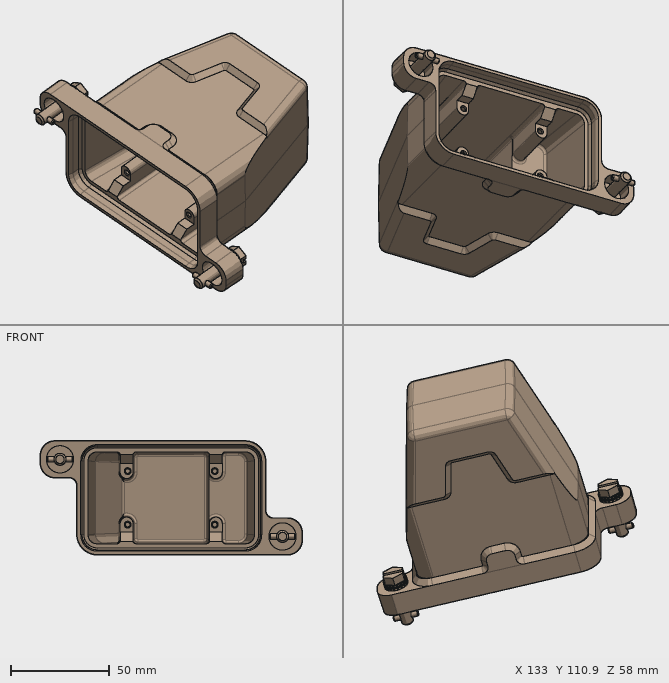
import cadquery as cq
import math

DRAFT_ANGLE = 1.0

FLANGE_THICKNESS = 12.1
HALF_LENGTH = 66.5
FLANGE_HALF_WIDTH = 48.0
HALF_HEIGHT = 29.0
EAR_HEIGHT = 18.9
EAR_INNER_Z = HALF_HEIGHT - EAR_HEIGHT
FLANGE_CORNER_RADIUS = 10.6
EAR_CORNER_RADIUS = 7.6
EAR_ROOT_RADIUS = 3.7

BODY_BACK_Y = 100.0
RECESS_DEPTH = 2.8
BODY_HALF_WIDTH = FLANGE_HALF_WIDTH - RECESS_DEPTH
BODY_HALF_HEIGHT = HALF_HEIGHT - RECESS_DEPTH
BODY_CORNER_RADIUS = 8.6
SLOPE_START_Y = 35.2
SLOPE_ANGLE = 15.2
SLOPE = math.tan(math.radians(SLOPE_ANGLE))
BACK_HALF_WIDTH = BODY_HALF_WIDTH - SLOPE * (BODY_BACK_Y - SLOPE_START_Y)
RAISED_EDGE_RADIUS = 4.3
STEP_ANGLE = 45.0

RECESS_SHOULDER_Y = 57.3
RECESS_TIP_Y = 77.0
RECESS_TIP_HALF_WIDTH = 10.4
RECESS_ROOT_HALF_WIDTH = RECESS_TIP_HALF_WIDTH + SLOPE * (RECESS_TIP_Y - RECESS_SHOULDER_Y)
RECESS_TIP_RADIUS = 0.8
RECESS_ROOT_RADIUS = 4.3

PAD_HALF_WIDTH = 7.5
PAD_END_Y = 22.1
PAD_CORNER_RADIUS = 3.9
PAD_ROOT_RADIUS = 3.5

MOUTH_HALF_WIDTH = 45.9
MOUTH_HALF_HEIGHT = 27.0
MOUTH_CORNER_RADIUS = 8.4
MOUTH_BEVEL = 0.7
MOUTH_BEVEL_END_Y = 2.5
SEAT_BEVEL = 0.9
SEAT_BEVEL_START_Y = 6.3
SEAT_Y = 8.1

CAVITY_HALF_WIDTH = 42.2
CAVITY_HALF_HEIGHT = 23.3
CAVITY_BACK_HALF_HEIGHT = 22.3
CAVITY_BACK_Y = 95.8
CAVITY_WALL_END_X = 38.5
CAVITY_SLOPE_START_Y = 45.4
CAVITY_SLOPE_END_X = CAVITY_WALL_END_X - SLOPE * (CAVITY_BACK_Y - CAVITY_SLOPE_START_Y)
SHELF_Y = 42.5
SHELF_EDGE_X = 19.0
SHELF_EDGE_BACK_X = 18.2
CAVITY_CORNER_RADIUS = 4.5
FLOOR_RADIUS = 1.3

POST_X = 22.6
POST_HALF_WIDTH = 3.2
POST_TIP_Z = 9.8
POST_FACE_Y = 17.8
POST_STEP_Y = 12.6
POST_STEP_Z = 17.4
POST_TOE_Z = 22.1
POST_ROOT_RADIUS = 1.7
OUTER_ROOT_END_Y = 82.5
POST_DRAFT = 0.5
POST_HOLE_X = 22.1
POST_HOLE_Z = 13.5
POST_HOLE_RADIUS = 1.2
POST_HOLE_CHAMFER = 0.5
POST_HOLE_DEPTH = 10.6

SCREW_X = 56.4
SCREW_Z = 19.5
SHANK_RADIUS = 3.0
COUNTERBORE_RADIUS = 6.9
COUNTERBORE_DEPTH = 8.6
SCREW_TIP_Y = -10.9
SCREW_TIP_CHAMFER = 0.9
CROSS_PIN_Y = -6.8
CROSS_PIN_RADIUS = 1.5
CROSS_PIN_HALF_LENGTH = 6.5
CROSS_PIN_CHAMFER = 0.5
WASHER_RADIUS = 6.1
WASHER_THICKNESS = 1.2
WASHER_GAP = 0.5
WASHER_NECK_RADIUS = 5.6
TOOTH_COUNT = 18
TOOTH_GAP_WIDTH = 0.4
HEAD_START_Y = FLANGE_THICKNESS + 2 * WASHER_THICKNESS + WASHER_GAP
HEAD_END_Y = 19.3
HEAD_CORNER_RADIUS = 5.9
HEAD_SLOT_WIDTH = 1.9
HEAD_SLOT_DEPTH = 1.7


def facing_mouth(y, x=0, z=0):
    """Workplane at depth y whose extrusions go towards -Y (local x, y are X, Z)."""
    return cq.Workplane("XZ", origin=(x, y, z))


def facing_back(y, x=0, z=0):
    """Workplane at depth y whose extrusions go towards +Y (local x, y are X, -Z)."""
    return cq.Workplane(cq.Plane(origin=(x, y, z), xDir=(1, 0, 0), normal=(0, 1, 0)))


def nearest_to(x, y, z):
    return cq.selectors.NearestToPointSelector((x, y, z))


def with_mirror(solid):
    """The solid joined to its mirror image across the parting plane."""
    return solid.union(solid.mirror("XY"))


def rounded_frustum(y, half_width, half_height, radius, depth, inset):
    """Rounded rectangle at y that shrinks evenly by inset over depth towards +Y."""
    near = facing_back(y).sketch().rect(2 * half_width, 2 * half_height).vertices().fillet(radius).finalize()
    taper = math.degrees(math.atan2(inset, depth))
    return near.extrude(depth, taper=taper)


def rounded_polygon(points, corners):
    """Sketch of a closed point list, rounded at each (u, v, radius) of corners."""
    sketch = cq.Sketch().polygon(points)
    for u, v, radius in corners:
        sketch = sketch.reset().vertices(nearest_to(u, v, 0)).fillet(radius)
    return sketch


def flange():
    outline = [
        (-HALF_LENGTH, HALF_HEIGHT, EAR_CORNER_RADIUS),
        (FLANGE_HALF_WIDTH, HALF_HEIGHT, FLANGE_CORNER_RADIUS),
        (FLANGE_HALF_WIDTH, -EAR_INNER_Z, EAR_ROOT_RADIUS),
        (HALF_LENGTH, -EAR_INNER_Z, EAR_CORNER_RADIUS),
        (HALF_LENGTH, -HALF_HEIGHT, EAR_CORNER_RADIUS),
        (-FLANGE_HALF_WIDTH, -HALF_HEIGHT, FLANGE_CORNER_RADIUS),
        (-FLANGE_HALF_WIDTH, EAR_INNER_Z, EAR_ROOT_RADIUS),
        (-HALF_LENGTH, EAR_INNER_Z, EAR_CORNER_RADIUS),
    ]
    back_face = rounded_polygon([(x, z) for x, z, radius in outline + outline[:1]], outline)
    return facing_mouth(FLANGE_THICKNESS).placeSketch(back_face).extrude(FLANGE_THICKNESS, taper=DRAFT_ANGLE)


def hood_plan():
    """Straight sides that turn into sloping ones, drafted away from the parting plane."""
    half = (
        cq.Workplane("XY")
        .polyline([
            (-BODY_HALF_WIDTH, 0),
            (-BODY_HALF_WIDTH, SLOPE_START_Y),
            (-BACK_HALF_WIDTH, BODY_BACK_Y),
            (BACK_HALF_WIDTH, BODY_BACK_Y),
            (BODY_HALF_WIDTH, SLOPE_START_Y),
            (BODY_HALF_WIDTH, 0),
        ])
        .close()
        .extrude(HALF_HEIGHT, taper=DRAFT_ANGLE)
    )
    return half


def grip_recess():
    """Recess floor outline widening at 45 degrees up to the raised top."""
    corners = [
        (-RECESS_ROOT_HALF_WIDTH, RECESS_SHOULDER_Y, RECESS_ROOT_RADIUS),
        (-RECESS_TIP_HALF_WIDTH, RECESS_TIP_Y, RECESS_TIP_RADIUS),
        (RECESS_TIP_HALF_WIDTH, RECESS_TIP_Y, RECESS_TIP_RADIUS),
        (RECESS_ROOT_HALF_WIDTH, RECESS_SHOULDER_Y, RECESS_ROOT_RADIUS),
    ]
    outline = [(-HALF_LENGTH, 0), (-HALF_LENGTH, RECESS_SHOULDER_Y)]
    outline += [(x, y) for x, y, radius in corners]
    outline += [(HALF_LENGTH, RECESS_SHOULDER_Y), (HALF_LENGTH, 0), (-HALF_LENGTH, 0)]
    recess_floor = rounded_polygon(outline, corners)
    floor_plane = cq.Workplane("XY", origin=(0, 0, BODY_HALF_HEIGHT))
    return floor_plane.placeSketch(recess_floor).extrude(RECESS_DEPTH, taper=-STEP_ANGLE)


def raised_hood():
    """Full-height back part with rounded edges and the grip recess."""
    half = hood_plan()
    for side in (-1, 1):
        corner = nearest_to(side * BACK_HALF_WIDTH, BODY_BACK_Y, HALF_HEIGHT / 2)
        half = half.edges(corner).fillet(RAISED_EDGE_RADIUS)
    half = half.faces(">Z").edges(nearest_to(0, BODY_BACK_Y, HALF_HEIGHT)).fillet(RAISED_EDGE_RADIUS)
    back = cq.Workplane("XY").box(
        2 * HALF_LENGTH, BODY_BACK_Y, HALF_HEIGHT + 1.3, centered=(True, False, False)
    ).translate((0, RECESS_SHOULDER_Y, 0))
    return with_mirror(half.intersect(back).cut(grip_recess()))


def lower_hood():
    """Rounded front part whose sloping sides cut across its corners."""
    depth = RECESS_SHOULDER_Y
    quarter = (
        cq.Workplane("XY")
        .center(0, depth / 2)
        .rect(2 * BODY_HALF_WIDTH, 3 * depth)
        .extrude(BODY_HALF_HEIGHT, taper=DRAFT_ANGLE)
        .faces(">Z").edges("|Y")
        .fillet(BODY_CORNER_RADIUS)
    )
    front = cq.Workplane("XY").box(
        2 * HALF_LENGTH, depth, HALF_HEIGHT, centered=(True, False, False)
    )
    return with_mirror(hood_plan().intersect(quarter).intersect(front))


def base_flare():
    return rounded_frustum(
        FLANGE_THICKNESS, FLANGE_HALF_WIDTH, HALF_HEIGHT, FLANGE_CORNER_RADIUS, RECESS_DEPTH, RECESS_DEPTH
    )


def pads():
    root_half_width = PAD_HALF_WIDTH + PAD_ROOT_RADIUS
    root_end_y = FLANGE_THICKNESS + PAD_ROOT_RADIUS
    corner_y = PAD_END_Y - PAD_CORNER_RADIUS
    corner_x = PAD_HALF_WIDTH - PAD_CORNER_RADIUS
    pad = (
        cq.Workplane("XY", origin=(0, 0, HALF_HEIGHT))
        .moveTo(-root_half_width, FLANGE_THICKNESS)
        .radiusArc((-PAD_HALF_WIDTH, root_end_y), -PAD_ROOT_RADIUS)
        .lineTo(-PAD_HALF_WIDTH, corner_y)
        .radiusArc((-corner_x, PAD_END_Y), PAD_CORNER_RADIUS)
        .lineTo(corner_x, PAD_END_Y)
        .radiusArc((PAD_HALF_WIDTH, corner_y), PAD_CORNER_RADIUS)
        .lineTo(PAD_HALF_WIDTH, root_end_y)
        .radiusArc((root_half_width, FLANGE_THICKNESS), -PAD_ROOT_RADIUS)
        .close()
        .extrude(-RECESS_DEPTH, taper=-STEP_ANGLE)
    )
    behind_flange = cq.Workplane("XY").box(
        HALF_LENGTH, BODY_BACK_Y, 2 * HALF_HEIGHT, centered=(True, False, True)
    ).translate((0, FLANGE_THICKNESS, 0))
    return with_mirror(pad.intersect(behind_flange))


def mouth():
    throat_half_width = MOUTH_HALF_WIDTH - MOUTH_BEVEL
    throat_half_height = MOUTH_HALF_HEIGHT - MOUTH_BEVEL
    throat_radius = MOUTH_CORNER_RADIUS - MOUTH_BEVEL
    lip = rounded_frustum(
        0, MOUTH_HALF_WIDTH, MOUTH_HALF_HEIGHT, MOUTH_CORNER_RADIUS, MOUTH_BEVEL_END_Y, MOUTH_BEVEL
    )
    throat = rounded_frustum(
        MOUTH_BEVEL_END_Y, throat_half_width, throat_half_height, throat_radius,
        SEAT_BEVEL_START_Y - MOUTH_BEVEL_END_Y, 0,
    )
    seat = rounded_frustum(
        SEAT_BEVEL_START_Y, throat_half_width, throat_half_height, throat_radius,
        SEAT_Y - SEAT_BEVEL_START_Y, SEAT_BEVEL,
    )
    return lip.union(throat).union(seat)


def post(x):
    """Screw post on the upper wall, with a stepped and bevelled foot."""
    depth = CAVITY_BACK_Y - SEAT_Y
    tip_centre_z = POST_TIP_Z + POST_HALF_WIDTH
    column = (
        facing_back(SEAT_Y, x)
        .moveTo(-POST_HALF_WIDTH, -HALF_HEIGHT)
        .lineTo(-POST_HALF_WIDTH, -tip_centre_z)
        .threePointArc((0, -POST_TIP_Z), (POST_HALF_WIDTH, -tip_centre_z))
        .lineTo(POST_HALF_WIDTH, -HALF_HEIGHT)
        .close()
        .extrude(depth, taper=-POST_DRAFT)
    )
    front_space = (
        cq.Workplane("YZ", origin=(x - 2 * POST_HALF_WIDTH, 0, 0))
        .polyline([
            (SEAT_Y, POST_TOE_Z),
            (POST_STEP_Y, POST_STEP_Z),
            (POST_FACE_Y, POST_STEP_Z),
            (POST_FACE_Y, 0),
            (0, 0),
            (0, POST_TOE_Z),
        ])
        .close()
        .extrude(4 * POST_HALF_WIDTH)
    )
    return column.cut(front_space)


def wedge(outline):
    """Prism of an XY outline between the drafted top and bottom walls of the cavity."""
    prism = (
        cq.Workplane("XY", origin=(0, 0, -HALF_HEIGHT))
        .polyline(outline)
        .close()
        .extrude(2 * HALF_HEIGHT)
    )
    walls = (
        cq.Workplane("YZ", origin=(-HALF_LENGTH, 0, 0))
        .polyline([
            (SEAT_Y, CAVITY_HALF_HEIGHT),
            (CAVITY_BACK_Y, CAVITY_BACK_HALF_HEIGHT),
            (CAVITY_BACK_Y, -CAVITY_BACK_HALF_HEIGHT),
            (SEAT_Y, -CAVITY_HALF_HEIGHT),
        ])
        .close()
        .extrude(2 * HALF_LENGTH)
    )
    return prism.intersect(walls)


def fillet_long_edges(solid, x, y, radius):
    """Round the top and bottom edges that run past (x, y)."""
    for z in (-CAVITY_HALF_HEIGHT, CAVITY_HALF_HEIGHT):
        solid = solid.edges(nearest_to(x, y, z)).fillet(radius)
    return solid


def outer_post_root():
    """Rounded root on the -X side of the -X post; it runs out into the sloping wall."""
    side_x = -POST_X - POST_HALF_WIDTH
    root_x = side_x - POST_ROOT_RADIUS
    root_z = CAVITY_HALF_HEIGHT - POST_ROOT_RADIUS
    return (
        facing_back(SEAT_Y)
        .moveTo(root_x, -HALF_HEIGHT)
        .lineTo(root_x, -CAVITY_HALF_HEIGHT)
        .radiusArc((side_x, -root_z), -POST_ROOT_RADIUS)
        .lineTo(side_x, -HALF_HEIGHT)
        .close()
        .extrude(OUTER_ROOT_END_Y - SEAT_Y, taper=-POST_DRAFT)
    )


def post_pair(x):
    return with_mirror(post(x))


def deep_pocket():
    """Pocket behind the -X half, with a side wall parallel to the hood's slope."""
    pocket = wedge([
        (-CAVITY_HALF_WIDTH, SEAT_Y),
        (-CAVITY_WALL_END_X, CAVITY_SLOPE_START_Y),
        (-CAVITY_SLOPE_END_X, CAVITY_BACK_Y),
        (SHELF_EDGE_BACK_X, CAVITY_BACK_Y),
        (SHELF_EDGE_X, SHELF_Y),
        (SHELF_EDGE_X, SEAT_Y),
    ])
    corners = cq.selectors.BoxSelector(
        (-HALF_LENGTH, SEAT_Y, -HALF_HEIGHT), (-CAVITY_SLOPE_END_X - 1.3, CAVITY_BACK_Y - 1.3, HALF_HEIGHT)
    )
    pocket = pocket.edges(corners).edges("not |Z").fillet(CAVITY_CORNER_RADIUS)
    pocket = fillet_long_edges(pocket, SHELF_EDGE_X, (SHELF_Y + CAVITY_BACK_Y) / 2, POST_ROOT_RADIUS)
    pocket = pocket.cut(post_pair(-POST_X))
    pocket = fillet_long_edges(
        pocket, POST_HALF_WIDTH - POST_X, (POST_FACE_Y + CAVITY_BACK_Y) / 2, POST_ROOT_RADIUS
    )
    pocket = pocket.cut(with_mirror(outer_post_root()))
    return pocket.faces(">Y").edges().fillet(FLOOR_RADIUS)


def shelf_pocket():
    """Shallow pocket over the +X half; its -X end lies inside the deep pocket."""
    start_x = SHELF_EDGE_X - 2 * POST_HALF_WIDTH
    pocket = wedge([
        (start_x, SEAT_Y),
        (start_x, SHELF_Y),
        (CAVITY_WALL_END_X, SHELF_Y),
        (CAVITY_HALF_WIDTH, SEAT_Y),
    ])
    pocket = fillet_long_edges(pocket, CAVITY_HALF_WIDTH, (SEAT_Y + SHELF_Y) / 2, CAVITY_CORNER_RADIUS)
    pocket = pocket.cut(post_pair(POST_X))
    for side in (-POST_HALF_WIDTH, POST_HALF_WIDTH):
        pocket = fillet_long_edges(pocket, POST_X + side, (POST_FACE_Y + SHELF_Y) / 2, POST_ROOT_RADIUS)
    return pocket.faces(">Y").edges("not <X").fillet(FLOOR_RADIUS)


def post_hole(x, z):
    hole = facing_back(POST_FACE_Y, x, z).circle(POST_HOLE_RADIUS).extrude(POST_HOLE_DEPTH)
    rim = facing_back(POST_FACE_Y, x, z).circle(POST_HOLE_RADIUS + POST_HOLE_CHAMFER)
    return hole.union(rim.extrude(POST_HOLE_CHAMFER, taper=45))


def screw_hole():
    """Counterbored hole for the screw in the -X ear."""
    bore = facing_back(0, -SCREW_X, SCREW_Z).circle(COUNTERBORE_RADIUS).extrude(COUNTERBORE_DEPTH)
    through = facing_back(0, -SCREW_X, SCREW_Z).circle(SHANK_RADIUS).extrude(FLANGE_THICKNESS)
    return bore.union(through)


def opposite(solid):
    """The same solid turned half a turn about the hood's axis."""
    return solid.rotate((0, 0, 0), (0, 1, 0), 180)


def hood():
    body = flange().union(base_flare()).union(lower_hood()).union(raised_hood()).union(pads())
    body = body.cut(mouth()).cut(deep_pocket()).cut(shelf_pocket())
    for x in (-POST_HOLE_X, POST_HOLE_X):
        for z in (-POST_HOLE_Z, POST_HOLE_Z):
            body = body.cut(post_hole(x, z))
    return body.cut(screw_hole()).cut(opposite(screw_hole()))


def toothed_washer(y):
    washer = facing_back(y).circle(WASHER_RADIUS).extrude(WASHER_THICKNESS)
    gaps = (
        facing_back(y)
        .polarArray(WASHER_RADIUS, 0, 360, TOOTH_COUNT)
        .rect(2 * (WASHER_RADIUS - WASHER_NECK_RADIUS), TOOTH_GAP_WIDTH)
        .extrude(WASHER_THICKNESS)
    )
    return washer.cut(gaps)


def screw():
    """Slotted hexagon screw with two toothed washers and a cross pin, in the -X ear."""
    shank = (
        facing_back(SCREW_TIP_Y)
        .circle(SHANK_RADIUS)
        .extrude(HEAD_START_Y - SCREW_TIP_Y)
        .faces("<Y")
        .chamfer(SCREW_TIP_CHAMFER)
    )
    cross_pin = (
        cq.Workplane("YZ", origin=(-CROSS_PIN_HALF_LENGTH, CROSS_PIN_Y, 0))
        .circle(CROSS_PIN_RADIUS)
        .extrude(2 * CROSS_PIN_HALF_LENGTH)
        .faces("<X or >X")
        .chamfer(CROSS_PIN_CHAMFER)
    )
    neck = facing_back(FLANGE_THICKNESS).circle(WASHER_NECK_RADIUS).extrude(HEAD_START_Y - FLANGE_THICKNESS)
    head = (
        facing_back(HEAD_START_Y)
        .transformed(rotate=(0, 0, 30))
        .polygon(6, 2 * HEAD_CORNER_RADIUS)
        .extrude(HEAD_END_Y - HEAD_START_Y)
    )
    slot = (
        facing_mouth(HEAD_END_Y)
        .rect(2 * HEAD_CORNER_RADIUS, HEAD_SLOT_WIDTH)
        .extrude(HEAD_SLOT_DEPTH)
    )
    body = shank.union(cross_pin).union(neck).union(head.cut(slot))
    for y in (FLANGE_THICKNESS, FLANGE_THICKNESS + WASHER_THICKNESS + WASHER_GAP):
        body = body.union(toothed_washer(y))
    return body.translate((-SCREW_X, 0, SCREW_Z))


housing = hood()
screws = [screw(), opposite(screw())]

result = cq.Compound.makeCompound([housing.val()] + [part.val() for part in screws])